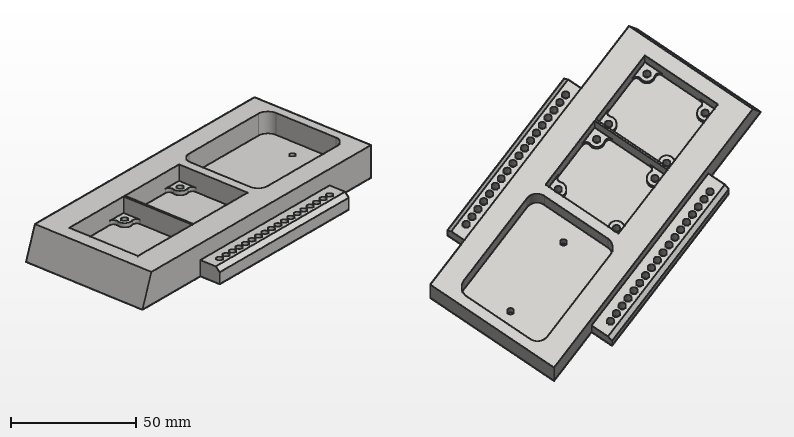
import cadquery as cq
import math

body_length = 141.5
body_width = 60.8
body_height = 15.0
front_lean = 5.5
back_y = body_length / 2
front_y = -body_length / 2

rail_width = 10.0
rail_height = body_height / 2
rail_length = 80.0
rail_center_y = 5.1
rail_chamfer = 2.0
rail_hole_count = 18
rail_hole_end_margin = 6.0
rail_hole_pitch = (rail_length - 2 * rail_hole_end_margin) / (rail_hole_count - 1)
rail_hole_x = body_width / 2 + rail_width / 2

tray_width = 41.0
tray_length = 52.9
tray_depth = 10.0
tray_corner_radius = 5.0
tray_back_margin = 4.4
tray_center_y = back_y - tray_back_margin - tray_length / 2
tray_hole_back_y = 58.2
tray_hole_spacing = 36.2

bay_width = 35.8
bay_length = 33.5
bay_depth = 9.5
bay_wall = 0.8
bay_back_y = 9.2
first_bay_center_y = bay_back_y - bay_length / 2
bay_centers_y = [first_bay_center_y, first_bay_center_y - bay_length - bay_wall]

pad_height = 2.0
pad_hole_spacing_x = 28.6
pad_inset = (bay_width - pad_hole_spacing_x) / 2
pad_radius = 3.3
pad_blend_radius = 2.0

screw_hole_diameter = 3.0
tray_hole_diameter = 2.7


def make_body():
    """Side profile of the block, extruded across its width."""
    profile = [
        (front_y, 0),
        (back_y, 0),
        (back_y, body_height),
        (front_y + front_lean, body_height),
    ]
    return cq.Workplane("YZ").polyline(profile).close().extrude(body_width / 2, both=True)


def make_rails():
    """Both rails as one full-width strip with its outer top edges chamfered."""
    full_width = body_width + 2 * rail_width
    return (
        cq.Workplane("XY")
        .center(0, rail_center_y)
        .box(full_width, rail_length, rail_height, centered=(True, True, False))
        .edges("|Y and >Z")
        .chamfer(rail_chamfer)
    )


def make_tray():
    """Cutter for the large rounded pocket."""
    return (
        cq.Workplane("XY", origin=(0, tray_center_y, body_height - tray_depth))
        .rect(tray_width, tray_length)
        .extrude(tray_depth)
        .edges("|Z")
        .fillet(tray_corner_radius)
    )


def make_pad():
    """Pad in the front-left corner of a bay, with that corner at the origin.

    A round lobe sits about the screw hole and blends into both walls by concave arcs
    that are tangent to the lobe and to the wall.
    """
    reach = pad_radius + pad_blend_radius
    blend_x = pad_inset + math.sqrt(reach**2 - (pad_inset - pad_blend_radius) ** 2)
    blend_y = pad_blend_radius
    share = pad_radius / reach
    meet_x = pad_inset + share * (blend_x - pad_inset)
    meet_y = pad_inset + share * (blend_y - pad_inset)
    meet_angle = math.atan2(meet_y - blend_y, meet_x - blend_x)
    middle_angle = (meet_angle + 1.5 * math.pi) / 2
    middle_x = blend_x + pad_blend_radius * math.cos(middle_angle)
    middle_y = blend_y + pad_blend_radius * math.sin(middle_angle)
    lobe_tip = pad_inset + pad_radius * math.sqrt(0.5)
    return (
        cq.Workplane("XY")
        .lineTo(blend_x, 0)
        .threePointArc((middle_x, middle_y), (meet_x, meet_y))
        .threePointArc((lobe_tip, lobe_tip), (meet_y, meet_x))
        .threePointArc((middle_y, middle_x), (0, blend_x))
        .close()
        .extrude(pad_height)
    )


def make_bay():
    """Cutter for one bay: a box less the four corner pads, on a floor at Z = 0."""
    bay = cq.Workplane("XY").box(bay_width, bay_length, bay_depth, centered=(True, True, False))
    front_left = make_pad().translate((-bay_width / 2, -bay_length / 2, 0))
    front_right = front_left.mirror("YZ")
    for pad in (front_left, front_right):
        bay = bay.cut(pad).cut(pad.mirror("XZ"))
    return bay


def make_holes(points, diameter):
    """Cutter for vertical through holes."""
    return cq.Workplane("XY").pushPoints(points).circle(diameter / 2).extrude(body_height)


first_rail_hole_y = rail_center_y - rail_length / 2 + rail_hole_end_margin
rail_hole_points = [
    (side * rail_hole_x, first_rail_hole_y + i * rail_hole_pitch)
    for side in (-1, 1)
    for i in range(rail_hole_count)
]
pad_hole_points = [
    (side_x * (bay_width / 2 - pad_inset), center_y + side_y * (bay_length / 2 - pad_inset))
    for center_y in bay_centers_y
    for side_x in (-1, 1)
    for side_y in (-1, 1)
]
tray_hole_points = [(0, tray_hole_back_y), (0, tray_hole_back_y - tray_hole_spacing)]

result = make_body().union(make_rails()).cut(make_tray())
for center_y in bay_centers_y:
    result = result.cut(make_bay().translate((0, center_y, body_height - bay_depth)))
result = result.cut(make_holes(rail_hole_points + pad_hole_points, screw_hole_diameter))
result = result.cut(make_holes(tray_hole_points, tray_hole_diameter))